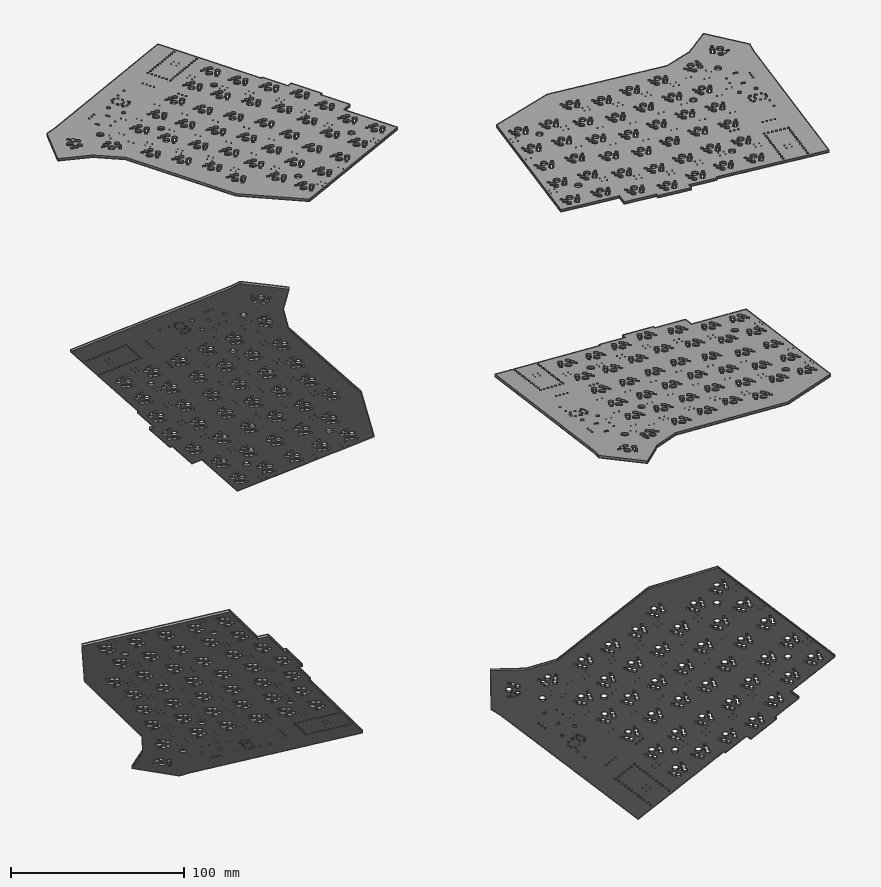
import cadquery as cq
import math


thickness = 1.6
length = 166.7
corner_cut = 20.3
left_edge = 0.7
left_bend_y = 27.5
bottom_edge_y = 22.2
bottom_left_x = 52.5
bottom_right_x = 127.7
thumb_corners = [(35.2, 14.2), (31.3, 10.5)]
right_corner_y = 39.7
top_steps = [(71.2, 138.4), (88.7, 139.5), (109.7, 142.9), (130.0, 141.2), (length, 134.4)]

key_pitch = 19.0
grid = key_pitch / 15
stem_hole_d = 4.0
socket_hole_d = 3.0
peg_hole_d = 1.7
peg = (4 * grid, 0)
inner_socket = (2 * grid, 4 * grid)
outer_socket = (3 * grid, 2 * grid)

first_column_x = 43.0
key_columns = [(126.9, 5), (126.9, 5), (130.0, 5), (133.2, 5), (130.0, 6), (124.5, 5), (124.5, 5)]
plugged_key = (17.5, 17.7, -45)
thumb_keys = [(100.7, 38.2, 0), (81.7, 35.0, 0), (62.7, 31.8, 0), (39.8, 27.0, 25), plugged_key]

mount_hole_d = 4.2
mount_holes = [(52.3, 117.3), (52.3, 60.3), (147.5, 115.0), (147.5, 57.8), (26.5, 35.8)]

header_pitch = 2 * grid
controller_hole_d = 1.1
controller_left = 13.2
controller_bottom = 108.2
controller_rows = 12
controller_columns = 7
display_hole_d = 0.82
display_start = (16.8, 96.8)
display_pins = 4
light_hole_d = 1.0
light_start = (40.3, 98.2)
light_pins = 3
reset_hole_d = 1.1
reset_holes = [(12.0, 84.2), (12.0, 77.8)]

jack_hole_d = 1.1
jack_holes = [
    (13.7, 75.2), (16.7, 75.2), (20.5, 75.2),
    (13.7, 69.5), (16.7, 69.5), (20.3, 69.3),
    (12.0, 73.3), (11.8, 71.3),
    (18.8, 73.2), (18.8, 71.2),
    (22.2, 73.5), (22.2, 71.2),
]
jack_side_holes = [(21.3, 75.3), (17.5, 69.3), (21.2, 69.3)]
jack_peg_d = 2.2
jack_pegs = [(14.5, 63.5), (24.8, 63.5)]

encoder_x = 19.2
encoder_y = 50.0
encoder_hole_d = 1.0
encoder_pitch = 2.5
contact_offset = 7.5
switch_offset = 7.0
lug_slot_length = 2.8
lug_slot_width = 1.3
lug_spacing = 11.2

via_d = 0.4
via_spacing = 3.3
via_pairs = [
    (20.7, [126.7, 123.9]),
    (28.7, [57.3]),
    (36.5, [118.8, 116.0, 81.0, 61.8, 43.0]),
    (46.0, [38.2]),
    (55.5, [81.0]),
    (55.7, [43.0]),
    (56.3, [39.8]),
    (58.8, [118.8, 116.0, 61.8]),
    (74.5, [122.2, 118.8, 84.0, 65.2, 46.0]),
    (75.5, [43.0]),
    (93.5, [125.2, 122.2, 87.3, 68.3, 49.2]),
    (94.7, [46.0]),
    (112.7, [122.2, 118.8, 84.0, 65.2, 46.0, 43.0]),
    (131.9, [116.5, 113.3, 78.7, 59.7, 56.3]),
    (163.4, [116.5, 113.3, 78.7, 59.7, 56.3]),
]
tilted_via_pair = (32.7, 36.5, -45)


def turned(point, place):
    """Board position of a footprint point when the footprint lies at place = (x, y, angle)."""
    x, y = point
    place_x, place_y, angle = place
    cosine = math.cos(math.radians(angle))
    sine = math.sin(math.radians(angle))
    return (place_x + x * cosine - y * sine, place_y + x * sine + y * cosine)


def mirrored(point):
    """The point with its mirror image across the footprint's centre line."""
    x, y = point
    return [(x, y), (-x, y)]


def on_both_sides(point, places):
    """Board positions of a mirrored pair of footprint points at every place."""
    return [turned(side, place) for place in places for side in mirrored(point)]


def cylinders(points, diameter):
    return cq.Workplane("XY").pushPoints(points).circle(diameter / 2).extrude(thickness)


def make_blank():
    points = [(corner_cut, 0), (0, corner_cut), (left_edge, left_bend_y)]
    x = left_edge
    for step_end, y in top_steps:
        points += [(x, y), (step_end, y)]
        x = step_end
    points.append((length, right_corner_y))
    points.append((bottom_right_x, bottom_edge_y))
    points.append((bottom_left_x, bottom_edge_y))
    points += thumb_corners
    return cq.Workplane("XY").polyline(points).close().extrude(thickness)


def key_places():
    places = list(thumb_keys)
    for column, (top_y, count) in enumerate(key_columns):
        x = first_column_x + column * key_pitch
        places += [(x, top_y - row * key_pitch, 0) for row in range(count)]
    return places


def cut_switch_holes(board):
    places = key_places()
    stems = [(x, y) for x, y, angle in places]
    board = board.cut(cylinders(stems, stem_hole_d))
    board = board.cut(cylinders(on_both_sides(peg, places), peg_hole_d))
    board = board.cut(cylinders(on_both_sides(inner_socket, places), socket_hole_d))
    return board.cut(cylinders(on_both_sides(outer_socket, places), socket_hole_d))


def cut_controller_holes(board):
    """Pins along the left, right and bottom sides of the controller."""
    last_column = controller_columns - 1
    points = []
    for row in range(controller_rows):
        y = controller_bottom + row * header_pitch
        columns = range(controller_columns) if row == 0 else (0, last_column)
        points += [(controller_left + column * header_pitch, y) for column in columns]
    return board.cut(cylinders(points, controller_hole_d))


def cut_pin_row(board, start, count, diameter):
    x, y = start
    points = [(x + pin * header_pitch, y) for pin in range(count)]
    return board.cut(cylinders(points, diameter))


def cut_jack_holes(board):
    board = board.cut(cylinders(jack_holes, jack_hole_d))
    board = board.cut(cylinders(jack_side_holes, jack_hole_d))
    return board.cut(cylinders(jack_pegs, jack_peg_d))


def cut_encoder_holes(board):
    pins = [(encoder_x - contact_offset, encoder_y + step * encoder_pitch) for step in (-1, 0, 1)]
    pins += [(encoder_x + switch_offset, encoder_y + step * encoder_pitch) for step in (-1, 1)]
    lugs = [(encoder_x, encoder_y + side * lug_spacing / 2) for side in (-1, 1)]
    slots = cq.Workplane("XY").pushPoints(lugs).slot2D(lug_slot_length, lug_slot_width).extrude(thickness)
    return board.cut(cylinders(pins, encoder_hole_d)).cut(slots)


def cut_vias(board):
    places = [(x, y, 0) for x, ys in via_pairs for y in ys]
    places.append(tilted_via_pair)
    return board.cut(cylinders(on_both_sides((via_spacing / 2, 0), places), via_d))


def make_board():
    board = make_blank()
    board = cut_switch_holes(board)
    board = board.cut(cylinders(mount_holes, mount_hole_d))
    board = cut_controller_holes(board)
    board = cut_pin_row(board, display_start, display_pins, display_hole_d)
    board = cut_pin_row(board, light_start, light_pins, light_hole_d)
    board = board.cut(cylinders(reset_holes, reset_hole_d))
    board = cut_jack_holes(board)
    board = cut_encoder_holes(board)
    return cut_vias(board)


def make_plug():
    """Fills the left outer socket hole of one thumb key, up to the inner socket hole beside it."""
    inner_x, inner_y = inner_socket
    outer_x, outer_y = outer_socket
    plug = cylinders([turned((-outer_x, outer_y), plugged_key)], socket_hole_d)
    return plug.cut(cylinders([turned((-inner_x, inner_y), plugged_key)], socket_hole_d))


board = make_board()
plug = make_plug()
result = cq.Compound.makeCompound([board.val(), plug.val()])